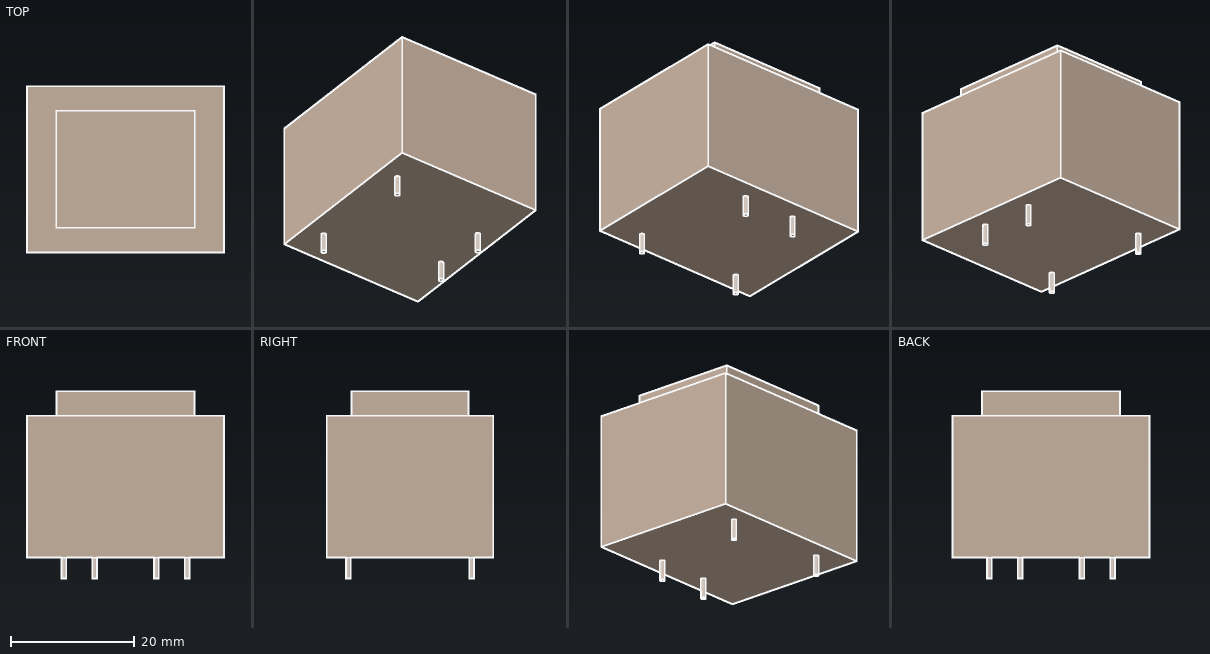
import cadquery as cq

HOUSING_LENGTH = 32.0
HOUSING_WIDTH = 27.0
TOTAL_HEIGHT = 30.4

CAP_LENGTH = 22.4
CAP_WIDTH = 19.0
CAP_HEIGHT = 4.0

PIN_DIAMETER = 0.8
PIN_SIDES = 32
PIN_LENGTH = 3.4
PIN_ROW_SPACING = 20.0
REAR_PIN_SPACING = PIN_ROW_SPACING
FRONT_PIN_SPACING = REAR_PIN_SPACING / 2

HOUSING_HEIGHT = TOTAL_HEIGHT - CAP_HEIGHT - PIN_LENGTH


def make_housing():
    """Plain rectangular block standing on Z = 0."""
    return cq.Workplane("XY").rect(HOUSING_LENGTH, HOUSING_WIDTH).extrude(HOUSING_HEIGHT)


def make_cap():
    """Rectangular cap resting on the top face of the housing."""
    top_plane = cq.Workplane("XY").workplane(offset=HOUSING_HEIGHT)
    return top_plane.rect(CAP_LENGTH, CAP_WIDTH).extrude(CAP_HEIGHT)


def make_pin(x, y):
    """Many-sided pin hanging down from the underside of the housing."""
    return cq.Workplane("XY").center(x, y).polygon(PIN_SIDES, PIN_DIAMETER).extrude(-PIN_LENGTH)


housing = make_housing()
cap = make_cap()

pins = []
for row_side, pin_spacing in ((-1, FRONT_PIN_SPACING), (1, REAR_PIN_SPACING)):
    for pin_side in (-1, 1):
        pins.append(make_pin(pin_side * pin_spacing / 2, row_side * PIN_ROW_SPACING / 2))

result = cq.Compound.makeCompound([housing.val(), cap.val(), *[pin.val() for pin in pins]])